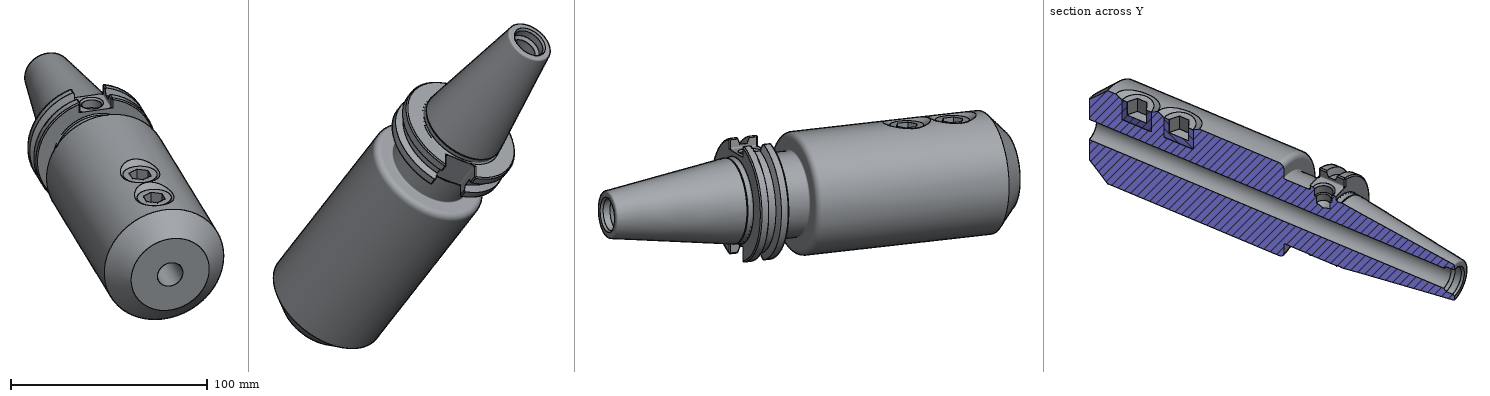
import cadquery as cq
import math

total_length = 220.6
body_diameter = 63.5

taper_length = 68.0
taper_small_diameter = 24.7
taper_large_diameter = 44.4
tip_fillet = 1.0

flange_start = 71.5
flange_width = 15.9
flange_end = flange_start + flange_width
rim_chamfer = 0.7
groove_center = 79.5
groove_width = 7.0
groove_depth = 3.5
groove_floor_width = 4.0

relief_start = 68.6
relief_diameter = 44.0
neck_diameter = 44.4
root_fillet = 0.7
body_start = 103.0
body_edge_fillet = 3.3
nose_chamfer = 11.0

bore_diameter = 13.5
mouth_diameter = 18.0
thread_diameter = 16.5
mouth_depth = 1.3
thread_end = 5.0
thread_cone_end = 6.6

slot_width = 16.5
slot_edge_chamfer = 0.7
top_slot_floor = 25.0
bottom_slot_floor = 22.3
slot_fillet = 0.7

pocket_mouth_diameter = 12.1
pocket_diameter = 10.1
pocket_depth = 5.5
pilot_diameter = 8.0
pilot_depth = 10.0
pilot_point_angle = 140

screw_diameter = 17.5
screw_length = 13.2
screw_top = 29.5
screw_spacing = 25.4
first_screw_x = 166.5
screw_positions = [first_screw_x, first_screw_x + screw_spacing]
countersink_angle = 120
hex_sides = 6
hex_across_flats = 10.0
hex_depth = 8.8

arc_middle = 1 - math.sqrt(0.5)


def revolve_about_x(profile):
    """Turn a closed XY outline about the X axis."""
    return profile.close().revolve(360, (0, 0, 0), (1, 0, 0))


def revolve_about_vertical(x, points):
    """Turn an outline of (radius, height) points about the vertical axis at the given X."""
    return (
        cq.Workplane("XZ", origin=(x, 0, 0))
        .polyline(points)
        .close()
        .revolve(360, (0, 0, 0), (0, 1, 0))
    )


def root_up(outline, x, radius):
    """Run along a neck and fillet up into the flank at the given X."""
    return outline.lineTo(x - root_fillet, radius).threePointArc(
        (x - root_fillet * arc_middle, radius + root_fillet * arc_middle),
        (x, radius + root_fillet))


def root_down(outline, x, radius):
    """Run down the flank at the given X and fillet out onto a neck."""
    return outline.lineTo(x, radius + root_fillet).threePointArc(
        (x + root_fillet * arc_middle, radius + root_fillet * arc_middle),
        (x + root_fillet, radius))


def turned_blank():
    """Taper, relief, flange, neck and body as one turned piece."""
    body_radius = body_diameter / 2
    relief_radius = relief_diameter / 2
    neck_radius = neck_diameter / 2
    taper_small_radius = taper_small_diameter / 2
    groove_radius = body_radius - groove_depth

    tip_arc = tip_fillet * arc_middle
    outline = (
        cq.Workplane("XY")
        .lineTo(0, taper_small_radius - tip_fillet)
        .threePointArc(
            (tip_arc, taper_small_radius - tip_arc),
            (tip_fillet, taper_small_radius))
        .lineTo(taper_length, taper_large_diameter / 2)
        .lineTo(relief_start, relief_radius)
    )
    outline = root_up(outline, flange_start, relief_radius)
    outline = (
        outline.lineTo(flange_start, body_radius - rim_chamfer)
        .lineTo(flange_start + rim_chamfer, body_radius)
        .lineTo(groove_center - groove_width / 2, body_radius)
        .lineTo(groove_center - groove_floor_width / 2, groove_radius)
        .lineTo(groove_center + groove_floor_width / 2, groove_radius)
        .lineTo(groove_center + groove_width / 2, body_radius)
        .lineTo(flange_end - rim_chamfer, body_radius)
        .lineTo(flange_end, body_radius - rim_chamfer)
    )
    outline = root_down(outline, flange_end, neck_radius)
    outline = root_up(outline, body_start, neck_radius)
    edge_arc = body_edge_fillet * arc_middle
    outline = (
        outline.lineTo(body_start, body_radius - body_edge_fillet)
        .threePointArc(
            (body_start + edge_arc, body_radius - edge_arc),
            (body_start + body_edge_fillet, body_radius))
        .lineTo(total_length - nose_chamfer, body_radius)
        .lineTo(total_length, body_radius - nose_chamfer)
        .lineTo(total_length, 0)
    )
    return revolve_about_x(outline)


def axial_bore():
    """Through bore with a wider threaded length and mouth at the taper end."""
    mouth_radius = mouth_diameter / 2
    thread_radius = thread_diameter / 2
    bore_radius = bore_diameter / 2
    return revolve_about_x(
        cq.Workplane("XY")
        .lineTo(0, mouth_radius)
        .lineTo(mouth_depth, thread_radius)
        .lineTo(thread_end, thread_radius)
        .lineTo(thread_cone_end, bore_radius)
        .lineTo(total_length, bore_radius)
        .lineTo(total_length, 0)
    )


def drive_slot(floor_height, side):
    """Slot across the flange with broken edges; side is +1 above the axis and -1 below it."""
    half_width = slot_width / 2
    flared_half_width = half_width + slot_edge_chamfer
    top = body_diameter / 2
    rim_height = math.sqrt(top**2 - flared_half_width**2)
    flare_bottom = rim_height - slot_edge_chamfer
    overshoot = top - flare_bottom

    channel = (
        cq.Workplane("XY")
        .box(flange_width, slot_width, top - floor_height, centered=(False, True, False))
        .edges("|X and <Z")
        .fillet(slot_fillet)
        .translate((flange_start, 0, floor_height))
    )
    rim_flare = (
        cq.Workplane("YZ", origin=(flange_start, 0, 0))
        .moveTo(-half_width, flare_bottom)
        .lineTo(half_width, flare_bottom)
        .lineTo(half_width + overshoot, top)
        .lineTo(-half_width - overshoot, top)
        .close()
        .extrude(flange_width)
    )
    slot = channel.union(rim_flare)
    for face_x, inward in [(flange_start, 1), (flange_end, -1)]:
        end_flare = (
            cq.Workplane("XY", origin=(0, 0, floor_height))
            .moveTo(face_x, -flared_half_width)
            .lineTo(face_x + inward * slot_edge_chamfer, -half_width)
            .lineTo(face_x + inward * slot_edge_chamfer, half_width)
            .lineTo(face_x, flared_half_width)
            .close()
            .extrude(top - floor_height)
        )
        slot = slot.union(end_flare)
    return slot.rotate((0, 0, 0), (1, 0, 0), 0 if side > 0 else 180)


def stepped_slot_hole():
    """Chamfered pocket with a smaller, drill-pointed pilot hole in the top slot floor."""
    mouth_radius = pocket_mouth_diameter / 2
    pocket_radius = pocket_diameter / 2
    pilot_radius = pilot_diameter / 2
    mouth_bottom = top_slot_floor - (mouth_radius - pocket_radius)
    pocket_bottom = top_slot_floor - pocket_depth
    pilot_bottom = top_slot_floor - pilot_depth
    point_depth = pilot_radius / math.tan(math.radians(pilot_point_angle / 2))
    return revolve_about_vertical(groove_center, [
        (0, top_slot_floor),
        (mouth_radius, top_slot_floor),
        (pocket_radius, mouth_bottom),
        (pocket_radius, pocket_bottom),
        (pilot_radius, pocket_bottom),
        (pilot_radius, pilot_bottom),
        (0, pilot_bottom - point_depth),
    ])


def screw_hole(x):
    """Round pocket for a set screw, opening outward through a wide countersink."""
    radius = screw_diameter / 2
    crown = body_diameter / 2
    flare = (crown - screw_top) * math.tan(math.radians(countersink_angle / 2))
    screw_bottom = screw_top - screw_length
    return revolve_about_vertical(x, [
        (0, screw_bottom),
        (radius, screw_bottom),
        (radius, screw_top),
        (radius + flare, crown),
        (0, crown),
    ])


def make_holder():
    """Turned holder with its bore, drive slots, slot hole and screw holes."""
    holder = turned_blank().cut(axial_bore())
    holder = holder.cut(drive_slot(top_slot_floor, 1)).cut(drive_slot(bottom_slot_floor, -1))
    holder = holder.cut(stepped_slot_hole())
    for x in screw_positions:
        holder = holder.cut(screw_hole(x))
    return holder


def make_set_screw(x):
    """Headless screw with a hexagon socket in its top face."""
    across_corners = hex_across_flats / math.cos(math.pi / hex_sides)
    return (
        cq.Workplane("XY", origin=(x, 0, screw_top - screw_length))
        .circle(screw_diameter / 2)
        .extrude(screw_length)
        .faces(">Z")
        .workplane()
        .polygon(hex_sides, across_corners)
        .cutBlind(-hex_depth)
    )


holder = make_holder()
set_screws = [make_set_screw(x) for x in screw_positions]

result = cq.Compound.makeCompound([holder.val(), *[screw.val() for screw in set_screws]])